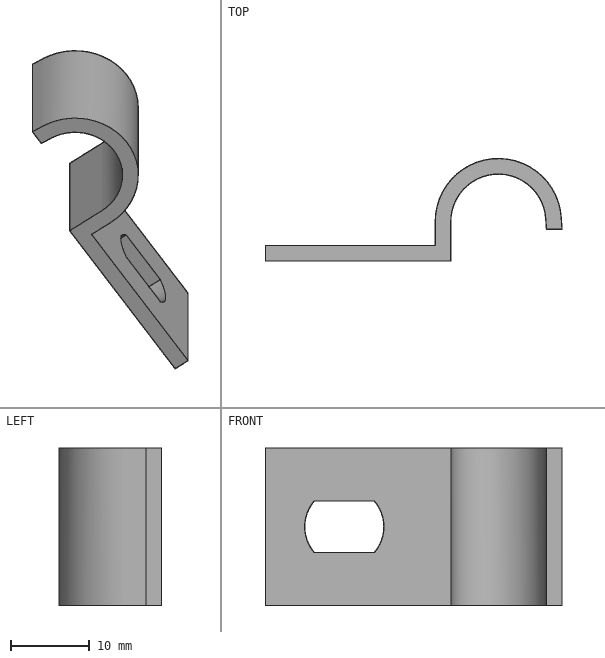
import cadquery as cq
import math

AXIS_X = 29.5
STRIP_WIDTH = 20.0
THICKNESS = 2.0
INNER_RADIUS = 6.0
AXIS_HEIGHT = 5.0
LIP_DROP = 1.0
LIP_LEAN = math.radians(4.0)
HOLE_DIAMETER = 10.0
HOLE_FLATS = 6.5
HOLE_X = 10.0

OUTER_RADIUS = INNER_RADIUS + THICKNESS
LIP_Y = AXIS_HEIGHT - LIP_DROP
CENTRE_Z = STRIP_WIDTH / 2


def lip_start(radius):
    """Point where an arc of the saddle runs tangentially into the leaning lip."""
    return (AXIS_X + radius * math.cos(LIP_LEAN), AXIS_HEIGHT + radius * math.sin(LIP_LEAN))


def lip_end(radius):
    """Point where the tangent from lip_start meets the end face of the lip."""
    start_x, start_y = lip_start(radius)
    return (start_x + (start_y - LIP_Y) * math.tan(LIP_LEAN), LIP_Y)


def make_strip():
    """Bent strip: flat tab, riser and half-round saddle with a leaning lip, extruded along Z."""
    return (
        cq.Workplane("XY")
        .moveTo(0, 0)
        .lineTo(AXIS_X - INNER_RADIUS, 0)
        .lineTo(AXIS_X - INNER_RADIUS, AXIS_HEIGHT)
        .threePointArc((AXIS_X, AXIS_HEIGHT + INNER_RADIUS), lip_start(INNER_RADIUS))
        .lineTo(*lip_end(INNER_RADIUS))
        .lineTo(*lip_end(OUTER_RADIUS))
        .lineTo(*lip_start(OUTER_RADIUS))
        .threePointArc((AXIS_X, AXIS_HEIGHT + OUTER_RADIUS), (AXIS_X - OUTER_RADIUS, AXIS_HEIGHT))
        .lineTo(AXIS_X - OUTER_RADIUS, THICKNESS)
        .lineTo(0, THICKNESS)
        .close()
        .extrude(STRIP_WIDTH)
    )


def make_hole_cutter():
    """Round hole through the tab, limited by flats above and below its centre."""
    cylinder = (
        cq.Workplane("XZ", origin=(HOLE_X, THICKNESS, CENTRE_Z))
        .circle(HOLE_DIAMETER / 2)
        .extrude(THICKNESS)
    )
    flats = cq.Workplane("XY").box(HOLE_DIAMETER, THICKNESS, HOLE_FLATS).translate(
        (HOLE_X, THICKNESS / 2, CENTRE_Z)
    )
    return cylinder.intersect(flats)


result = make_strip().cut(make_hole_cutter())